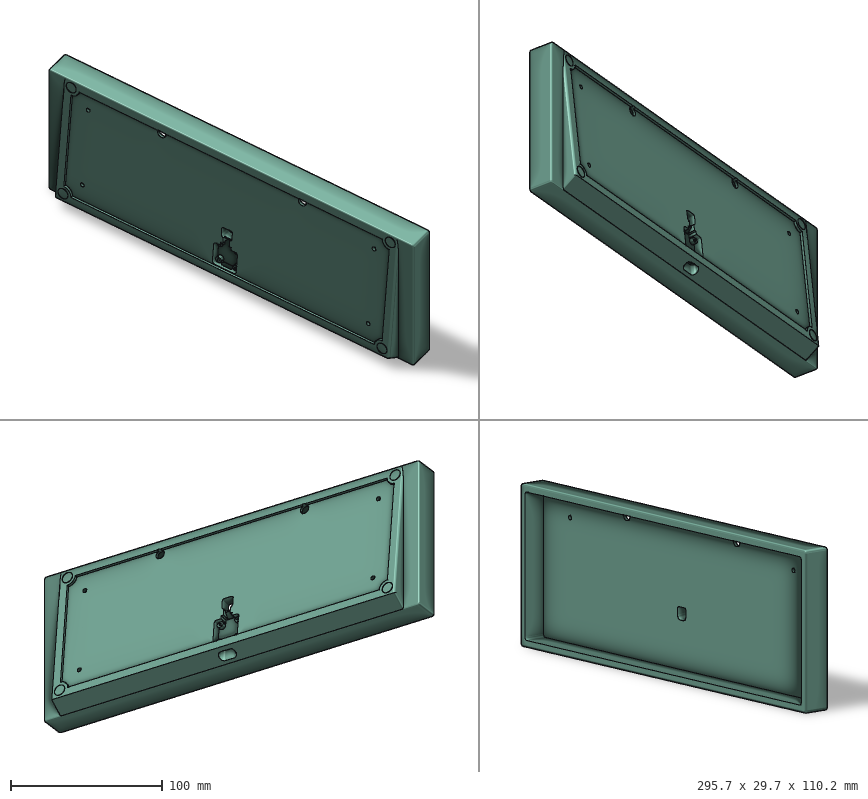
import cadquery as cq
import math

width = 295.7
height = 110.2
total_depth = 29.68
block_depth = 19.0
corner_radius = 2.2
back_edge_radius = 1.5
front_edge_radius = 1.2

wall_thickness = 5.0
cavity_depth = 16.0
cavity_corner_radius = 2.0

wedge_width = 270.6
wedge_top_z = 109.0
wedge_tip_z = 8.2
wedge_bottom_z = 0.8
wedge_edge_radius = 1.6
wedge_slope = (total_depth - block_depth) / (wedge_top_z - wedge_tip_z)
tilt = math.atan(wedge_slope)

foot_spacing_x = 257.8
foot_low_z = 14.1
foot_high_z = 103.9
foot_diameter = 8.0
foot_depth = 0.2
panel_width = 257.2
panel_bottom_z = 14.3
panel_top_z = 103.4
panel_depth = 1.9
foot_land_radius = 6.4

screw_diameter = 2.93
screw_spacing_x = 231.0
screw_low_z = 27.2
screw_high_z = 90.4
screw_blind_depth = 10.0
access_diameter = 6.4
access_spacing_x = 113.6
access_z = 100.5

cable_width = 8.6
cable_bottom_z = 39.4
cable_top_z = 48.2
cable_top_radius = 1.5
cable_bottom_radius = 3.0
neck_width = 5.2
neck_depth = 4.2
ramp_top_z = 38.4
ramp_depth = 3.4

board_width = 19.2
board_bottom_z = 14.9
board_top_z = 32.6
board_depth = 8.0
board_corner_radius = 2.0
tab_width = 8.6
tab_top_z = 35.0
pad_spacing_x = 13.8
pad_low_z = 16.9
pad_high_z = 30.8
pad_diameter = 4.6
pad_top_depth = 5.0
pilot_diameter = 1.57
pilot_depth = 10.0

port_width = 13.0
port_thickness = 6.2
port_axis_depth = 6.0
port_end_z = 11.5
passage_width = 9.4
passage_thickness = 3.4

tilted_face = cq.Plane(
    origin=(0, -total_depth - wedge_slope * wedge_tip_z, 0),
    xDir=(1, 0, 0),
    normal=(0, -math.cos(tilt), math.sin(tilt)),
)
along_depth = cq.selectors.ParallelDirSelector(tilted_face.zDir)


def up_slope(z):
    """Distance along the tilted face at height z."""
    return z / math.cos(tilt)


def mirrored(spacing, *heights):
    """Pairs of (x, z) points either side of X = 0 at each height."""
    return [(side * spacing / 2, z) for z in heights for side in (-1, 1)]


def sunk_block(x_size, z_low, z_high, depth):
    """Box sunk square into the tilted face."""
    return (
        cq.Workplane(tilted_face)
        .center(0, up_slope((z_low + z_high) / 2))
        .rect(x_size, up_slope(z_high - z_low))
        .extrude(-depth)
    )


def sunk_holes(points, diameter, depth, start_depth=0.0):
    """Cylinders square to the tilted face at (x, z) points, between two depths."""
    return (
        cq.Workplane(tilted_face)
        .workplane(offset=-start_depth)
        .pushPoints([(x, up_slope(z)) for x, z in points])
        .circle(diameter / 2)
        .extrude(start_depth - depth)
    )


def make_cavity():
    block_middle_z = height / 2
    return (
        cq.Workplane("XZ", origin=(0, 0, block_middle_z))
        .rect(width - 2 * wall_thickness, height - 2 * wall_thickness)
        .extrude(cavity_depth)
        .edges("|Y")
        .fillet(cavity_corner_radius)
    )


def make_block():
    block = (
        cq.Workplane("XY", origin=(0, -block_depth, 0))
        .box(width, block_depth, height, centered=(True, False, False))
    )
    block = block.edges("|Y").fillet(corner_radius)
    block = block.faces(">Y").edges().fillet(back_edge_radius)
    return block.faces("<Y").edges().fillet(front_edge_radius)


def make_wedge():
    root_y = -(block_depth + cavity_depth) / 2
    wedge = (
        cq.Workplane("YZ", origin=(-wedge_width / 2, 0, 0))
        .moveTo(root_y, wedge_bottom_z)
        .lineTo(-block_depth, wedge_bottom_z)
        .lineTo(-total_depth, wedge_tip_z)
        .lineTo(-block_depth, wedge_top_z)
        .lineTo(root_y, wedge_top_z)
        .close()
        .extrude(wedge_width)
    )
    exposed = cq.selectors.BoxSelector(
        (-width, -total_depth, 0), (width, -block_depth, height))
    return wedge.faces("<X or >X").edges(exposed).fillet(wedge_edge_radius)


def panel_recess():
    feet = mirrored(foot_spacing_x, foot_low_z, foot_high_z)
    panel = sunk_block(panel_width, panel_bottom_z, panel_top_z, panel_depth)
    return panel.cut(sunk_holes(feet, 2 * foot_land_radius, panel_depth))


def foot_recesses():
    return sunk_holes(mirrored(foot_spacing_x, foot_low_z, foot_high_z), foot_diameter, foot_depth)


def panel_holes():
    access_holes = sunk_holes(mirrored(access_spacing_x, access_z), access_diameter, total_depth)
    upper_screws = sunk_holes(mirrored(screw_spacing_x, screw_high_z), screw_diameter, total_depth)
    lower_screws = sunk_holes(
        mirrored(screw_spacing_x, screw_low_z), screw_diameter, screw_blind_depth)
    return access_holes.union(upper_screws).union(lower_screws)


def cable_opening():
    top_reach_z = cable_bottom_z + cable_bottom_radius
    opening = sunk_block(cable_width, cable_bottom_z, cable_top_z, total_depth)
    opening = opening.edges(along_depth).edges(">Z").fillet(cable_top_radius)
    opening = opening.edges(along_depth).edges("<Z").fillet(cable_bottom_radius)
    neck = sunk_block(neck_width, ramp_top_z, top_reach_z, neck_depth)
    ramp = sunk_block(neck_width, board_top_z, ramp_top_z, neck_depth + ramp_depth)
    ramp = ramp.faces(">Y").edges(">Z").chamfer(ramp_depth)
    return opening.union(neck).union(ramp)


def board_pocket():
    pads = mirrored(pad_spacing_x, pad_low_z, pad_high_z)
    pocket = sunk_block(board_width, board_bottom_z, board_top_z, board_depth)
    pocket = pocket.edges(along_depth).fillet(board_corner_radius)
    middle_z = (board_bottom_z + board_top_z) / 2
    pocket = pocket.union(sunk_block(tab_width, middle_z, tab_top_z, board_depth))
    pocket = pocket.cut(sunk_holes(pads, pad_diameter, board_depth, pad_top_depth))
    return pocket.union(sunk_holes(pads, pilot_diameter, pilot_depth, pad_top_depth))


def slope_slot(slot_width, thickness, end_z):
    """Round-ended bar along the port axis, from Z = 0 up the slope."""
    start = tilted_face.toWorldCoords((0, 0, -port_axis_depth))
    section = cq.Plane(origin=start, xDir=tilted_face.xDir, normal=tilted_face.yDir)
    return cq.Workplane(section).slot2D(slot_width, thickness).extrude(up_slope(end_z))


def plug_port():
    port = slope_slot(port_width, port_thickness, port_end_z)
    passage = slope_slot(passage_width, passage_thickness, board_bottom_z + board_corner_radius)
    return port.union(passage)


cutters = [
    make_cavity(),
    panel_recess(),
    foot_recesses(),
    panel_holes(),
    cable_opening(),
    board_pocket(),
    plug_port(),
]
result = make_block().union(make_wedge())
for cutter in cutters:
    result = result.cut(cutter)